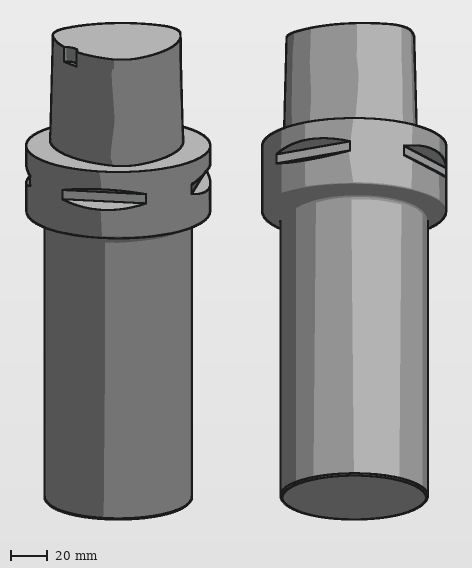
import cadquery as cq
import math

total_height = 260.0
body_radius = 80.0 / 2
body_edge_chamfer = 1.0

flange_radius = 100.0 / 2
flange_top = 200.2
flange_bottom = 163.5
flange_edge_radius = 1.3
cone_slope = 18.0
neck_fillet_radius = 3.5

lobe_tip_distance = 39.0
flank_distance = 33.5
lobe_radius = 18.2
shank_height = total_height - flange_top
shank_taper = 1 / 40
lobe_count = 3

notch_radius = 7.0
notch_inner_distance = 28.5
notch_depth = 8.0

slot_floor_distance = 44.5
slot_floor_height = 5.2
slot_wall_angle = 30.0
slot_center_z = 184.3
slot_count = 4
slot_start_angle = 45.0


def polar(radius, degrees):
    angle = math.radians(degrees)
    return (radius * math.cos(angle), radius * math.sin(angle))


def lobed_outline(z, inset):
    """Closed outline of alternating tangent lobe and flank arcs, offset inward by inset."""
    lobe_center = lobe_tip_distance - lobe_radius
    center_gap = flank_distance - lobe_radius
    flank_center = (lobe_center**2 - center_gap**2) / (2 * center_gap - lobe_center)
    flank_radius = flank_center + flank_distance
    half_pitch = 180 / lobe_count

    joint_angle = math.asin(lobe_center * math.sin(math.radians(half_pitch)) / (flank_radius - lobe_radius))
    along = (flank_radius - inset) * math.cos(joint_angle) - flank_center
    across = (flank_radius - inset) * math.sin(joint_angle)
    joint_radius = math.hypot(along, across)
    joint_offset = half_pitch - math.degrees(math.atan2(across, along))

    lobe_angle = 90
    outline = cq.Workplane("XY", origin=(0, 0, z)).moveTo(*polar(joint_radius, lobe_angle - joint_offset))
    for _ in range(lobe_count):
        next_lobe_angle = lobe_angle + 2 * half_pitch
        outline = outline.threePointArc(
            polar(lobe_tip_distance - inset, lobe_angle),
            polar(joint_radius, lobe_angle + joint_offset),
        )
        outline = outline.threePointArc(
            polar(flank_distance - inset, lobe_angle + half_pitch),
            polar(joint_radius, next_lobe_angle - joint_offset),
        )
        lobe_angle = next_lobe_angle
    return outline.close().val()


def make_shank():
    base = lobed_outline(flange_top, 0)
    top = lobed_outline(total_height, shank_height * shank_taper)
    shank = cq.Workplane(cq.Solid.makeLoft([base, top], True))
    notch = (
        cq.Workplane("XY", origin=(0, 0, total_height - notch_depth))
        .center(0, -notch_inner_distance - notch_radius)
        .circle(notch_radius)
        .extrude(notch_depth)
    )
    return shank.cut(notch)


def make_body():
    """Turned body, neck and flange."""
    cone_start_radius = flange_radius - flange_edge_radius
    cone_start_z = flange_bottom - flange_edge_radius

    fillet_center = body_radius + neck_fillet_radius
    fillet_end_x, fillet_end_z = polar(neck_fillet_radius, 90 + cone_slope)
    fillet_middle_x, fillet_middle_z = polar(neck_fillet_radius, 135 + cone_slope / 2)
    cone_end_radius = fillet_center + fillet_end_x
    cone_height = (cone_start_radius - cone_end_radius) * math.tan(math.radians(cone_slope))
    cone_end_z = cone_start_z - cone_height
    neck_z = cone_end_z - fillet_end_z

    edge_middle = flange_edge_radius * (1 - math.sqrt(0.5))
    return (
        cq.Workplane("XZ")
        .lineTo(body_radius - body_edge_chamfer, 0)
        .lineTo(body_radius, body_edge_chamfer)
        .lineTo(body_radius, neck_z)
        .threePointArc(
            (fillet_center + fillet_middle_x, neck_z + fillet_middle_z),
            (cone_end_radius, cone_end_z),
        )
        .lineTo(cone_start_radius, cone_start_z)
        .threePointArc(
            (flange_radius - edge_middle, cone_start_z + edge_middle),
            (flange_radius, flange_bottom),
        )
        .lineTo(flange_radius, flange_top)
        .lineTo(0, flange_top)
        .close()
        .revolve(360, (0, 0), (0, 1))
    )


def make_slot_cutter():
    """Straight trapezoidal groove across the +X side of the flange."""
    outer = flange_radius + 2.5
    half_floor = slot_floor_height / 2
    half_mouth = half_floor + (outer - slot_floor_distance) * math.tan(math.radians(slot_wall_angle))
    return (
        cq.Workplane("XZ")
        .moveTo(slot_floor_distance, slot_center_z - half_floor)
        .lineTo(outer, slot_center_z - half_mouth)
        .lineTo(outer, slot_center_z + half_mouth)
        .lineTo(slot_floor_distance, slot_center_z + half_floor)
        .close()
        .extrude(flange_radius, both=True)
    )


result = make_body().union(make_shank())
slot_cutter = make_slot_cutter()
for i in range(slot_count):
    angle = slot_start_angle + i * 360 / slot_count
    result = result.cut(slot_cutter.rotate((0, 0, 0), (0, 0, 1), angle))